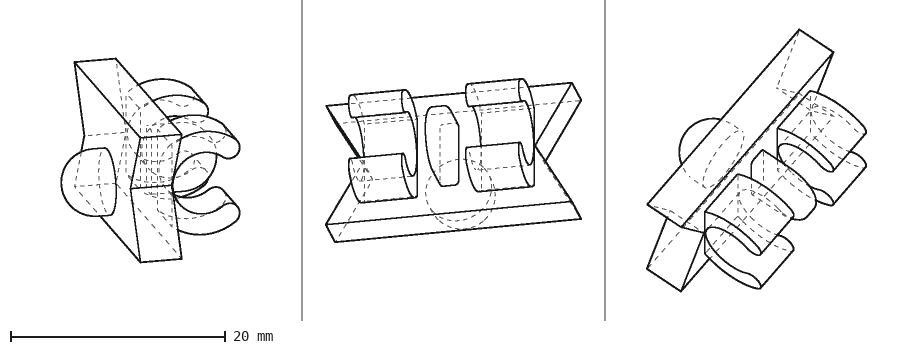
import cadquery as cq
import math

plate_height = 12.2
plate_thickness = 4.0
plate_top_width = 23.45
plate_bottom_width = 23.5
notch_angle = 30.0

button_diameter = 6.3
button_straight_length = 1.2
button_drop = 1.9

clip_drop = 0.1
hook_outer_radius = 5.05
hook_inner_radius = 3.0
hook_width = 5.05
hook_gap = 6.1
hook_axis_offset = 3.12
hook_reach = 6.58
tongue_radius = 3.2
tongue_thickness = 1.8
tongue_edge_radius = 0.38

half_height = plate_height / 2
button_radius = button_diameter / 2
hook_mean_radius = (hook_outer_radius + hook_inner_radius) / 2
hook_tip_radius = (hook_outer_radius - hook_inner_radius) / 2


def make_plate():
    """Notched slab with its back face on Y = 0."""
    left = -plate_top_width / 2
    notch_depth = half_height * math.tan(math.radians(notch_angle))
    outline = [
        (left, half_height),
        (-left, half_height),
        (-left - notch_depth, 0),
        (left + plate_bottom_width, -half_height),
        (left, -half_height),
        (left + notch_depth, 0),
    ]
    return cq.Workplane("XZ").polyline(outline).close().extrude(plate_thickness)


def make_button():
    """Cylinder ending in a half sphere, pointing toward -Y.

    The rear half of the sphere lies inside the cylinder and the plate.
    """
    front = -plate_thickness
    dome_center = front - button_straight_length
    stem = (
        cq.Workplane("XZ", origin=(0, front, -button_drop))
        .circle(button_radius)
        .extrude(button_straight_length)
    )
    dome = (
        cq.Workplane("XY", origin=(0, dome_center, -button_drop))
        .sphere(button_radius, direct=(0, 1, 0))
    )
    return stem.union(dome)


def make_hook(x_start):
    """C-shaped hook open toward +Y, with rounded tips, joined to the plate back."""
    tip_y = hook_reach - hook_tip_radius - hook_axis_offset
    tip_z = math.sqrt(hook_mean_radius**2 - tip_y**2)
    outer_scale = hook_outer_radius / hook_mean_radius
    inner_scale = hook_inner_radius / hook_mean_radius
    tip_scale = hook_tip_radius / hook_mean_radius
    bulge_y = tip_y + tip_z * tip_scale
    bulge_z = tip_z - tip_y * tip_scale
    root_y = -hook_axis_offset
    root_z = math.sqrt(hook_outer_radius**2 - root_y**2)

    return (
        cq.Workplane("YZ", origin=(x_start, hook_axis_offset, -clip_drop))
        .moveTo(root_y, root_z)
        .threePointArc((0, hook_outer_radius), (tip_y * outer_scale, tip_z * outer_scale))
        .threePointArc((bulge_y, bulge_z), (tip_y * inner_scale, tip_z * inner_scale))
        .threePointArc((-hook_inner_radius, 0), (tip_y * inner_scale, -tip_z * inner_scale))
        .threePointArc((bulge_y, -bulge_z), (tip_y * outer_scale, -tip_z * outer_scale))
        .threePointArc((0, -hook_outer_radius), (root_y, -root_z))
        .close()
        .extrude(hook_width)
    )


def make_tongue():
    """Round-ended tab between the hooks, with its outer edges rounded."""
    return (
        cq.Workplane("YZ", origin=(-tongue_thickness / 2, 0, -clip_drop))
        .moveTo(0, tongue_radius)
        .lineTo(tongue_radius, tongue_radius)
        .threePointArc((2 * tongue_radius, 0), (tongue_radius, -tongue_radius))
        .lineTo(0, -tongue_radius)
        .close()
        .extrude(tongue_thickness)
        .faces("<X or >X")
        .edges("not <Y")
        .fillet(tongue_edge_radius)
    )


result = make_plate().union(make_button()).union(make_tongue())
for hook_start in (-hook_gap / 2 - hook_width, hook_gap / 2):
    result = result.union(make_hook(hook_start))